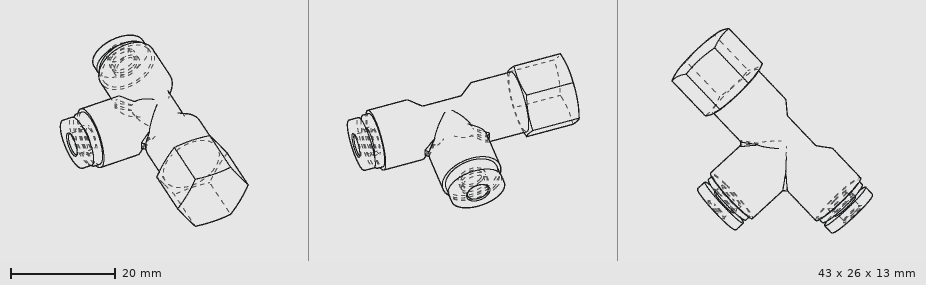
import cadquery as cq
import math


total_length = 43.0
reach = 18.5

body_dia = 11.9
neck_dia = 8.0
arm_length = 14.5
cone_start = 4.0
cone_end = 6.55
cone_blend = 0.5
web_thickness = 1.45

hex_flats = 13.0
hex_face_dia = 12.9
hex_chamfer_depth = 0.3
hex_corner_dia = hex_flats / math.cos(math.radians(30))
hex_length = total_length - reach - arm_length

collar_dia = 10.6
collar_end = 15.7
collar_rounding = 0.1

button_width = 10.9
button_height = 8.7
flange_start = 16.43
flange_rounding = 0.25
stem_dia = 5.5
bore_dia = 4.2
bore_chamfer = 0.25

push_in_turns = [0, -90]


def branch_plane(distance):
    """Plane across the -Y branch, facing outward, at a distance from the tee centre."""
    return cq.Workplane("XZ", origin=(0, -distance, 0))


def turned(part, angle):
    return part.rotate((0, 0, 0), (0, 0, 1), angle)


def make_arm():
    """One arm of the tee along -Y: neck, cone and full-diameter body."""
    arm = (
        cq.Workplane("XY")
        .lineTo(neck_dia / 2, 0)
        .lineTo(neck_dia / 2, -cone_start)
        .lineTo(body_dia / 2, -cone_end)
        .lineTo(body_dia / 2, -arm_length)
        .lineTo(0, -arm_length)
        .close()
        .revolve(360, (0, 0, 0), (0, 1, 0))
    )
    cone_edges = arm.edges(cq.selectors.BoxSelector(
        (-body_dia, -cone_end - cone_blend, -body_dia),
        (body_dia, -cone_start + cone_blend, body_dia),
    )).edges("%CIRCLE")
    return cone_edges.fillet(cone_blend)


def make_webs():
    """Flat plate that fills the two inner corners between the arms."""
    body_radius = body_dia / 2
    return (
        cq.Workplane("XY")
        .moveTo(-cone_end, 0)
        .lineTo(-cone_end, -body_radius)
        .lineTo(-body_radius, -cone_end)
        .lineTo(body_radius, -cone_end)
        .lineTo(cone_end, -body_radius)
        .lineTo(cone_end, 0)
        .close()
        .extrude(web_thickness / 2, both=True)
    )


def make_housing():
    arm = make_arm()
    run = turned(arm, -90).union(turned(arm, 90))
    return run.union(arm).union(make_webs())


def make_hex_end():
    hexagon = (
        cq.Workplane("YZ", origin=(arm_length, 0, 0))
        .polygon(6, hex_corner_dia)
        .extrude(hex_length)
    )
    blank = (
        cq.Workplane("XY", origin=(arm_length, 0, 0))
        .lineTo(0, hex_face_dia / 2)
        .lineTo(hex_chamfer_depth, hex_corner_dia / 2)
        .lineTo(hex_length - hex_chamfer_depth, hex_corner_dia / 2)
        .lineTo(hex_length, hex_face_dia / 2)
        .lineTo(hex_length, 0)
        .close()
        .revolve(360, (0, 0, 0), (1, 0, 0))
    )
    return hexagon.intersect(blank)


def make_collar():
    """Ring on the end of the -Y branch, with a hole that fits the button stem."""
    disc = (
        branch_plane(arm_length)
        .circle(collar_dia / 2)
        .extrude(collar_end - arm_length)
        .faces("<Y").edges().fillet(collar_rounding)
    )
    stem_hole = branch_plane(arm_length).circle(stem_dia / 2).extrude(collar_end - arm_length)
    return disc.cut(stem_hole)


def make_button():
    """Release button of the -Y branch: oval flange, round stem and tube bore."""
    flange = (
        branch_plane(flange_start)
        .ellipse(button_width / 2, button_height / 2)
        .extrude(reach - flange_start)
        .faces("<Y").edges().fillet(flange_rounding)
    )
    stem = branch_plane(arm_length).circle(stem_dia / 2).extrude(flange_start - arm_length)
    bore = branch_plane(arm_length).circle(bore_dia / 2).extrude(reach - arm_length)
    button = flange.union(stem).cut(bore)
    return button.faces("<Y").edges("%CIRCLE").chamfer(bore_chamfer)


housing = make_housing()
hex_end = make_hex_end()
collars = [turned(make_collar(), angle) for angle in push_in_turns]
buttons = [turned(make_button(), angle) for angle in push_in_turns]

result = cq.Compound.makeCompound([
    housing.val(),
    hex_end.val(),
    *[collar.val() for collar in collars],
    *[button.val() for button in buttons],
])